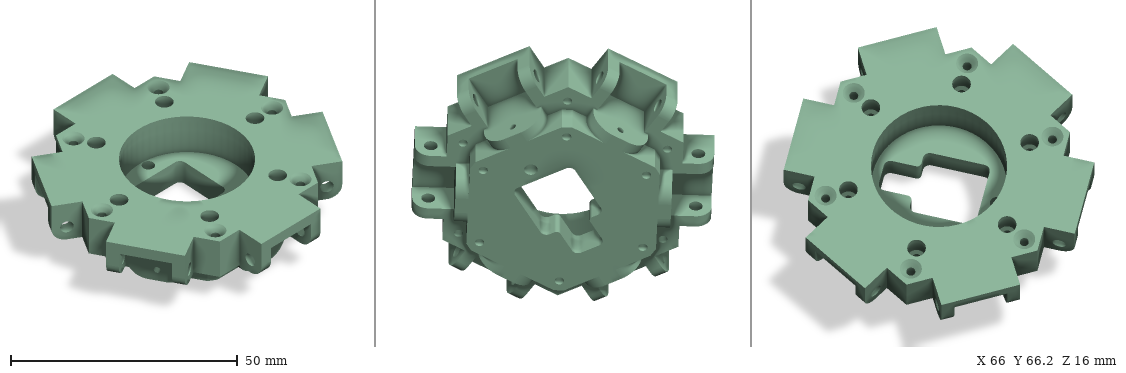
import cadquery as cq
import math

SIDES = 6
STEP_ANGLE = 360 / SIDES
OVERALL_Y = 66.2
TOTAL_HEIGHT = 16.0
LOWER_HEIGHT = 6.0
UPPER_HEIGHT = TOTAL_HEIGHT - LOWER_HEIGHT

PLATE_APOTHEM = 26.0
ARM_WIDTH = 18.05
ARM_REACH = (
    OVERALL_Y / 2 - ARM_WIDTH / 2 * math.cos(math.radians(STEP_ANGLE))
) / math.sin(math.radians(STEP_ANGLE))
SLOT_WIDTH = 12.2
SLOT_ROOF = 2.8
EYE_INSET = 3.5
PIN_DIAMETER = 3.05

HUB_APOTHEM = 20.9
HUB_CORNER_APOTHEM = 23.5
TONGUE_REACH = 23.8
TONGUE_WIDTH = 14.2
TONGUE_RADIUS = 5.0
TONGUE_HOLE_DIAMETER = 1.6
TONGUE_HOLE_HEIGHT = LOWER_HEIGHT / 2
TONGUE_HOLE_DEPTH = 6.6

POCKET_DIAMETER = 30.0
WINDOW_LEFT = -10.0
WINDOW_STEP = 5.1
WINDOW_RIGHT = 13.05
WINDOW_WIDTH = 15.0
NECK_WIDTH = 7.4
NECK_OFFSET = 0.1
WINDOW_CORNER_RADIUS = 1.5
NECK_ROOT_RADIUS = 1.0
CABLE_HOLE_DIAMETER = 3.0
CABLE_HOLE_CENTER = (-13.3, 1.0)

OUTER_SCREW_RADIUS = 26.0
OUTER_SCREW_DIAMETER = 2.0
COUNTERSINK_DIAMETER = 4.8
COUNTERSINK_ANGLE = 90
INNER_SCREW_RADIUS = 20.8
INNER_SCREW_DIAMETER = 2.05
COUNTERBORE_DIAMETER = 4.1
COUNTERBORE_DEPTH = UPPER_HEIGHT / 2


def hexagon(apothem, height, turn=0):
    """Hexagonal prism standing on Z = 0, with a flat facing the turn angle from +X."""
    corner_diameter = 2 * apothem / math.cos(math.pi / SIDES)
    prism = cq.Workplane("XY").polygon(SIDES, corner_diameter).extrude(height)
    return prism.rotate((0, 0, 0), (0, 0, 1), STEP_ANGLE / 2 + turn)


def around(shape):
    """Six copies of a shape, one per arm direction."""
    copies = cq.Workplane("XY")
    for index in range(SIDES):
        copies = copies.add(shape.rotate((0, 0, 0), (0, 0, 1), index * STEP_ANGLE).vals())
    return copies.combine()


def make_arm():
    """Solid arm along +X with its lower tip edge rounded concentric with the pin hole."""
    arm = cq.Workplane("XY", origin=(0, 0, LOWER_HEIGHT)).box(
        ARM_REACH, ARM_WIDTH, UPPER_HEIGHT, centered=(False, True, False)
    )
    return arm.edges(">X and <Z").fillet(EYE_INSET)


def make_tongue():
    """Tongue along +X with rounded lower corners, closing the inner end of the fork slot."""
    tongue = cq.Workplane("XY").box(
        TONGUE_REACH, TONGUE_WIDTH, LOWER_HEIGHT, centered=(False, True, False)
    )
    return tongue.edges("|X and <Z").fillet(TONGUE_RADIUS)


def make_fork_cut():
    """Slot between the fork cheeks, the pin hole across them and the blind tongue hole."""
    slot = cq.Workplane("XY", origin=(TONGUE_REACH, 0, LOWER_HEIGHT)).box(
        ARM_REACH - TONGUE_REACH, SLOT_WIDTH, UPPER_HEIGHT - SLOT_ROOF, centered=(False, True, False)
    )
    pin_hole = (
        cq.Workplane("XZ", origin=(ARM_REACH - EYE_INSET, 0, LOWER_HEIGHT + EYE_INSET))
        .circle(PIN_DIAMETER / 2)
        .extrude(ARM_WIDTH / 2, both=True)
    )
    tongue_hole = (
        cq.Workplane("YZ", origin=(TONGUE_REACH, 0, TONGUE_HOLE_HEIGHT))
        .circle(TONGUE_HOLE_DIAMETER / 2)
        .extrude(-TONGUE_HOLE_DEPTH)
    )
    return slot.union(pin_hole).union(tongue_hole)


def make_window():
    """Stepped opening through the pocket floor with rounded corners."""
    main_length = WINDOW_STEP - WINDOW_LEFT
    window = cq.Workplane("XY", origin=(WINDOW_LEFT, 0, 0)).box(
        main_length, WINDOW_WIDTH, LOWER_HEIGHT, centered=(False, True, False)
    )
    neck = cq.Workplane("XY", origin=(WINDOW_LEFT, NECK_OFFSET, 0)).box(
        WINDOW_RIGHT - WINDOW_LEFT, NECK_WIDTH, LOWER_HEIGHT, centered=(False, True, False)
    )
    window = window.edges("|Z").fillet(WINDOW_CORNER_RADIUS)
    neck = neck.edges("|Z and >X").fillet(WINDOW_CORNER_RADIUS)
    root_y = NECK_WIDTH / 2 + NECK_ROOT_RADIUS / 2
    root_edges = cq.selectors.BoxSelector(
        (WINDOW_STEP - NECK_ROOT_RADIUS / 2, NECK_OFFSET - root_y, 0),
        (WINDOW_STEP + NECK_ROOT_RADIUS / 2, NECK_OFFSET + root_y, LOWER_HEIGHT),
    )
    return window.union(neck).edges("|Z").edges(root_edges).fillet(NECK_ROOT_RADIUS)


def corner_points(radius):
    """Points at the given radius towards the six corners of the hexagon."""
    angles = [math.radians(STEP_ANGLE * (index + 0.5)) for index in range(SIDES)]
    return [(radius * math.cos(angle), radius * math.sin(angle)) for angle in angles]


plate = hexagon(PLATE_APOTHEM, UPPER_HEIGHT).translate((0, 0, LOWER_HEIGHT))
hub = hexagon(HUB_APOTHEM, LOWER_HEIGHT).intersect(
    hexagon(HUB_CORNER_APOTHEM, LOWER_HEIGHT, turn=STEP_ANGLE / 2)
)
body = plate.union(hub).union(around(make_arm())).union(around(make_tongue()))
body = body.cut(around(make_fork_cut()))

pocket = (
    cq.Workplane("XY", origin=(0, 0, LOWER_HEIGHT)).circle(POCKET_DIAMETER / 2).extrude(UPPER_HEIGHT)
)
cable_hole = (
    cq.Workplane("XY").center(*CABLE_HOLE_CENTER).circle(CABLE_HOLE_DIAMETER / 2).extrude(LOWER_HEIGHT)
)
body = body.cut(pocket).cut(make_window()).cut(cable_hole)

top_plane = cq.Workplane("XY", origin=(0, 0, TOTAL_HEIGHT))
body = (
    body.copyWorkplane(top_plane)
    .pushPoints(corner_points(OUTER_SCREW_RADIUS))
    .cskHole(OUTER_SCREW_DIAMETER, COUNTERSINK_DIAMETER, COUNTERSINK_ANGLE)
)
result = (
    body.copyWorkplane(top_plane)
    .pushPoints(corner_points(INNER_SCREW_RADIUS))
    .cboreHole(INNER_SCREW_DIAMETER, COUNTERBORE_DIAMETER, COUNTERBORE_DEPTH)
)